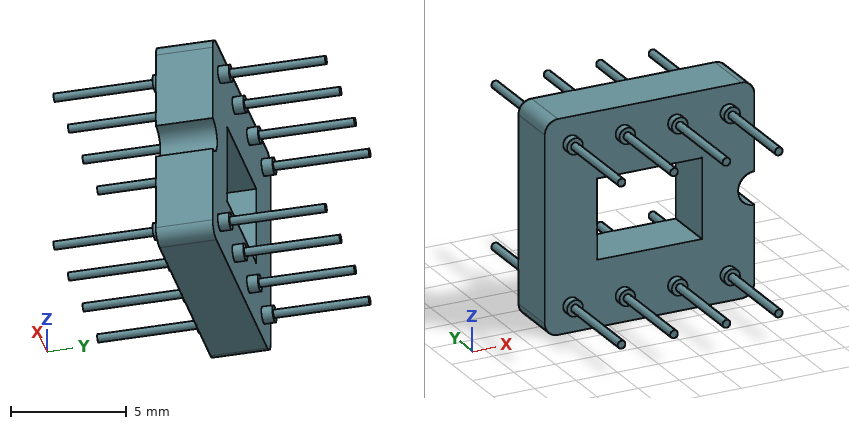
import cadquery as cq

plate_side = 10.16
pins_per_row = 4
pitch = plate_side / pins_per_row
row_spacing = 3 * pitch
plate_depth = pitch
corner_radius = pitch / 4
window_width = 2 * pitch
window_height = 3.82
notch_radius = 0.79

wire_diameter = 0.38
collar_diameter = 0.76
front_collar_length = 0.38
back_collar_length = 0.48
overall_length = 12.12
front_pin_length = 4.85

front_face = -plate_depth / 2
back_face = plate_depth / 2
front_tip = front_face - front_pin_length
back_tip = front_tip + overall_length


def rod(diameter, y_start, y_end):
    """Solid cylinder along Y on the origin axis."""
    return (
        cq.Workplane("XZ", origin=(0, y_start, 0))
        .circle(diameter / 2)
        .extrude(y_start - y_end)
    )


def make_plate():
    """Rounded plate with a rectangular window and a key notch in the +X edge."""
    plate = (
        cq.Workplane("XY")
        .box(plate_side, plate_depth, plate_side)
        .edges("|Y")
        .fillet(corner_radius)
    )
    window = cq.Workplane("XY").box(window_width, plate_depth, window_height)
    notch = rod(2 * notch_radius, front_face, back_face).translate((plate_side / 2, 0, 0))
    return plate.cut(window).cut(notch)


def make_pin(x, z):
    """One pin: wire plus the collar that passes through the plate."""
    wire = rod(wire_diameter, front_tip, back_tip)
    collar = rod(collar_diameter, front_face - front_collar_length, back_face + back_collar_length)
    return wire.union(collar).translate((x, 0, z))


socket = make_plate()
for column in range(pins_per_row):
    pin_x = (column - (pins_per_row - 1) / 2) * pitch
    for pin_z in (-row_spacing / 2, row_spacing / 2):
        socket = socket.union(make_pin(pin_x, pin_z))

result = cq.Compound.makeCompound([socket.solids().val()])